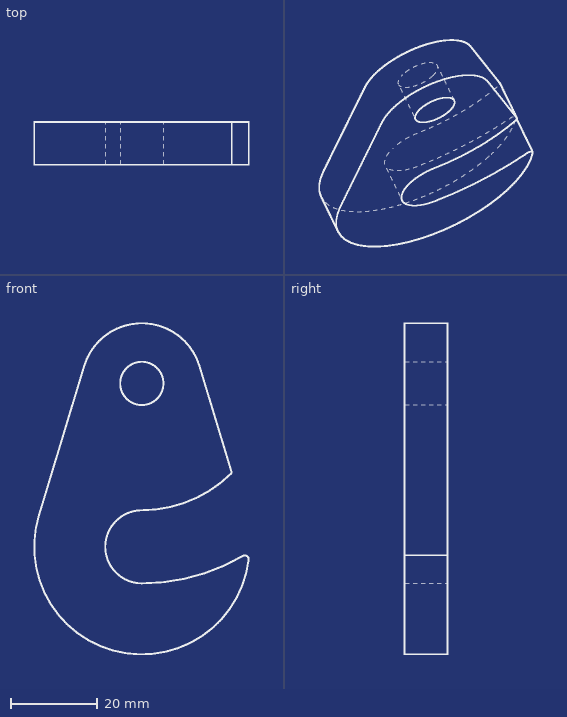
import cadquery as cq
import math

thickness = 10.0
length = 76.95
bowl_radius = 25.0
eye_radius = 14.0
eye_hole_diameter = 10.0
throat_radius = 8.5
opening_sweep = math.radians(60)
point_fillet = 0.9
shoulder_fillet = 0.5

eye_height = length - bowl_radius - eye_radius

opening_inner_radius = eye_height - throat_radius
opening_outer_radius = eye_height + throat_radius


def tangent_point(radius, center_height, side):
    """Point where the straight flank on one side (-1 or 1) touches a circle."""
    tilt = math.asin((bowl_radius - eye_radius) / eye_height)
    return (side * radius * math.cos(tilt), center_height + radius * math.sin(tilt))


def make_body():
    """Teardrop plate: eye and bowl circles joined by tangent flanks."""
    return (
        cq.Workplane("XZ")
        .moveTo(*tangent_point(bowl_radius, 0, -1))
        .lineTo(*tangent_point(eye_radius, eye_height, -1))
        .threePointArc((0, eye_height + eye_radius), tangent_point(eye_radius, eye_height, 1))
        .lineTo(*tangent_point(bowl_radius, 0, 1))
        .threePointArc((0, -bowl_radius), tangent_point(bowl_radius, 0, -1))
        .close()
        .extrude(thickness / 2, both=True)
    )


def point_about_eye(radius, angle):
    """Point at an angle from straight down, swung about the eye centre."""
    return (radius * math.sin(angle), eye_height - radius * math.cos(angle))


def make_opening():
    """Round throat continuing into a curved slot that runs out of the +X side."""
    return (
        cq.Workplane("XZ")
        .moveTo(0, throat_radius)
        .threePointArc(
            point_about_eye(opening_inner_radius, opening_sweep / 2),
            point_about_eye(opening_inner_radius, opening_sweep),
        )
        .lineTo(*point_about_eye(opening_outer_radius, opening_sweep))
        .threePointArc(
            point_about_eye(opening_outer_radius, opening_sweep / 2),
            (0, -throat_radius),
        )
        .threePointArc((-throat_radius, 0), (0, throat_radius))
        .close()
        .extrude(thickness / 2, both=True)
    )


def make_eye_hole():
    return (
        cq.Workplane("XZ")
        .center(0, eye_height)
        .circle(eye_hole_diameter / 2)
        .extrude(thickness / 2, both=True)
    )


def round_lip(hook, opening_radius, fillet_radius):
    """Round the sharp edge where an opening arc meets the outside of the hook."""
    lip_edges = [
        edge
        for edge in hook.edges("|Y").vals()
        if edge.Center().x > throat_radius
        and math.isclose(
            math.hypot(edge.Center().x, edge.Center().z - eye_height),
            opening_radius,
            abs_tol=0.0001,
        )
    ]
    return hook.newObject(lip_edges).fillet(fillet_radius)


hook = make_body().cut(make_opening())
hook = round_lip(hook, opening_outer_radius, point_fillet)
hook = round_lip(hook, opening_inner_radius, shoulder_fillet)
result = hook.cut(make_eye_hole())